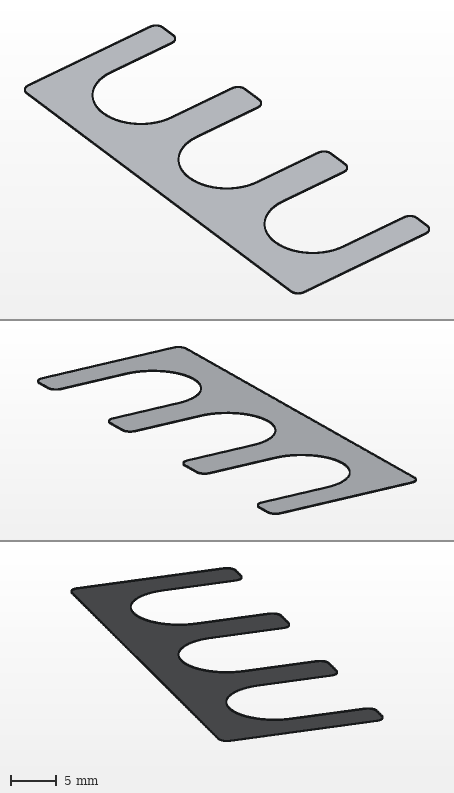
import cadquery as cq

length = 48.0
width = 19.0
thickness = 0.1
corner_radius = 1.0

slot_count = 3
slot_pitch = 15.0
slot_width = 10.5
floor_width = 4.2

slot_radius = slot_width / 2
back_edge = width / 2
slot_center_y = -width / 2 + floor_width + slot_radius


def slot_cutter(center_x):
    """U-shaped slot: a half-round end with straight sides up to the +Y edge."""
    return (
        cq.Workplane("XY", origin=(center_x, 0, -thickness / 2))
        .moveTo(-slot_radius, back_edge)
        .lineTo(-slot_radius, slot_center_y)
        .threePointArc((0, slot_center_y - slot_radius), (slot_radius, slot_center_y))
        .lineTo(slot_radius, back_edge)
        .close()
        .extrude(thickness)
    )


plate = cq.Workplane("XY").box(length, width, thickness)
for index in range(slot_count):
    offset = index - (slot_count - 1) / 2
    plate = plate.cut(slot_cutter(offset * slot_pitch))

finger_tips = plate.faces(">Y").edges("|Z")
base_corners = plate.faces("<Y").edges("|Z")
result = plate.newObject(finger_tips.vals() + base_corners.vals()).fillet(corner_radius)